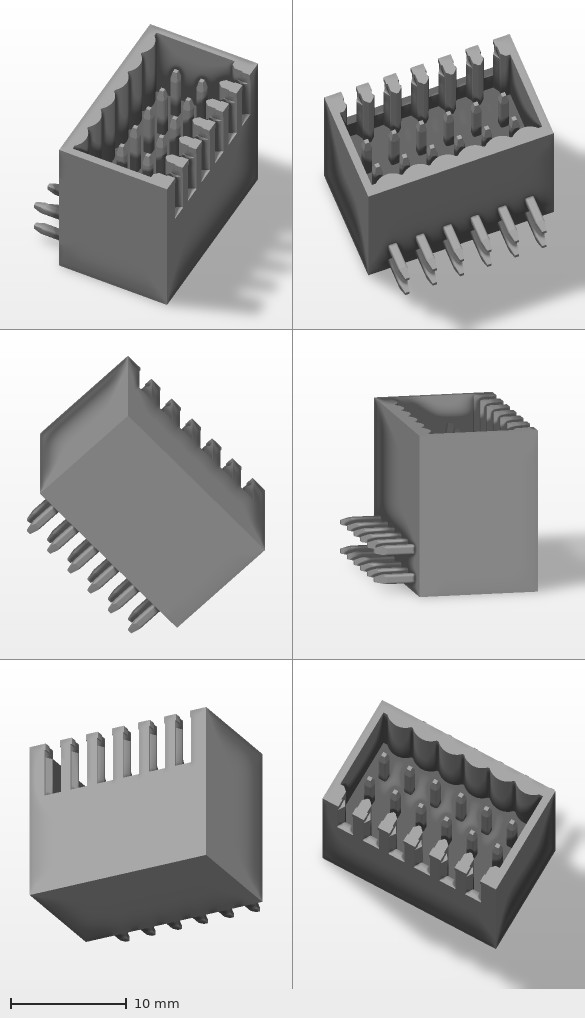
import cadquery as cq
import math

LENGTH = 17.2
DEPTH = 10.5
HEIGHT = 14.2

POLES = 6
END_POLE_SPAN = 12.7
PITCH = END_POLE_SPAN / (POLES - 1)
POLE_YS = [(i - (POLES - 1) / 2) * PITCH for i in range(POLES)]
MATING_ROW_X = 3.65
SOLDER_ROW_Z = 1.25

PIN_SIZE = 0.8
PIN_EDGE_RADIUS = 0.2
PIN_TIP_SIZE = 0.38
PIN_TIP_LENGTH = 1.03
SOLDER_PIN_LENGTH = 3.51
MATING_TIP_Z = 12.15

FLOOR_Z = 7.02
CAVITY_HEIGHT = HEIGHT - FLOOR_Z
BACK_WALL = 0.96
END_WALL = 0.69
COMB_X = 8.58

BULGE_HEIGHT = 0.52
VALLEY_FLAT = 0.17
BULGE_HALF_WIDTH = (PITCH - VALLEY_FLAT) / 2

SLOT_HALF_WIDTH = 0.79
TOOTH_CHAMFER = 0.38
SILL_X = 9.75
SILL_HEIGHT = 2.22

RIB_PROJECTION = 0.36
RIB_HALF_BASE = 0.57
RIB_TOP_Z = 12.97
LIP_PROJECTION = 0.1
LIP_HEIGHT = 0.62


def make_pin(length):
    """Rounded square pin along +Z from the origin, ending in a tapered tip."""
    rounded = cq.Workplane("XY").rect(PIN_SIZE, PIN_SIZE).extrude(length)
    rounded = rounded.edges("|Z").fillet(PIN_EDGE_RADIUS)
    shaft_length = length - PIN_TIP_LENGTH
    taper = math.degrees(math.atan((PIN_SIZE - PIN_TIP_SIZE) / 2 / PIN_TIP_LENGTH))
    pointed = cq.Workplane("XY").rect(PIN_SIZE, PIN_SIZE).extrude(shaft_length)
    pointed = pointed.faces(">Z").workplane().rect(PIN_SIZE, PIN_SIZE).extrude(PIN_TIP_LENGTH, taper=taper)
    return rounded.intersect(pointed)


def make_cavity():
    """Rectangular cavity without the scallops and slots."""
    return (
        cq.Workplane("XY", origin=(0, 0, FLOOR_Z))
        .moveTo((BACK_WALL + COMB_X) / 2, 0)
        .rect(COMB_X - BACK_WALL, LENGTH - 2 * END_WALL)
        .extrude(CAVITY_HEIGHT)
    )


def make_bulge(y):
    """Arc-fronted bulge of the solder-side wall, centred on a pole."""
    return (
        cq.Workplane("XY", origin=(BACK_WALL, y, FLOOR_Z))
        .moveTo(0, -BULGE_HALF_WIDTH)
        .threePointArc((BULGE_HEIGHT, 0), (0, BULGE_HALF_WIDTH))
        .close()
        .extrude(CAVITY_HEIGHT)
    )


def make_slot(y):
    """Slot between two chamfered comb teeth, with a raised sill at its outer end."""
    mouth = SLOT_HALF_WIDTH + TOOTH_CHAMFER
    throat_x = COMB_X + TOOTH_CHAMFER
    inner = (
        cq.Workplane("XY", origin=(0, y, FLOOR_Z))
        .polyline([
            (COMB_X, -mouth),
            (throat_x, -SLOT_HALF_WIDTH),
            (SILL_X, -SLOT_HALF_WIDTH),
            (SILL_X, SLOT_HALF_WIDTH),
            (throat_x, SLOT_HALF_WIDTH),
            (COMB_X, mouth),
        ])
        .close()
        .extrude(CAVITY_HEIGHT)
    )
    outer = (
        cq.Workplane("XY", origin=(0, y, FLOOR_Z + SILL_HEIGHT))
        .moveTo((SILL_X + DEPTH) / 2, 0)
        .rect(DEPTH - SILL_X, 2 * SLOT_HALF_WIDTH)
        .extrude(CAVITY_HEIGHT - SILL_HEIGHT)
    )
    return inner.union(outer)


def make_flank_details(y, side):
    """Triangular rib and top lip on one flank (side = -1 or +1) of a slot."""
    flank_y = side * SLOT_HALF_WIDTH
    rib = (
        cq.Workplane("XY", origin=(SILL_X, y, FLOOR_Z))
        .polyline([
            (-RIB_HALF_BASE, flank_y),
            (0, flank_y - side * RIB_PROJECTION),
            (RIB_HALF_BASE, flank_y),
        ])
        .close()
        .extrude(RIB_TOP_Z - FLOOR_Z)
    )
    lip = (
        cq.Workplane("XY", origin=(0, y, HEIGHT - LIP_HEIGHT))
        .moveTo((SILL_X + DEPTH) / 2, flank_y - side * LIP_PROJECTION / 2)
        .rect(DEPTH - SILL_X, LIP_PROJECTION)
        .extrude(LIP_HEIGHT)
    )
    return rib.union(lip)


result = cq.Workplane("XY").box(DEPTH, LENGTH, HEIGHT, centered=(False, True, False))
result = result.cut(make_cavity())

for pole_y in POLE_YS:
    result = result.cut(make_slot(pole_y))
    result = result.union(make_bulge(pole_y))
    for flank_side in (-1, 1):
        result = result.union(make_flank_details(pole_y, flank_side))

mating_pin = make_pin(MATING_TIP_Z - FLOOR_Z)
solder_pin = make_pin(SOLDER_PIN_LENGTH).rotate((0, 0, 0), (0, 1, 0), -90)
for pole_y in POLE_YS:
    for row in range(2):
        row_offset = row * PITCH
        result = result.union(mating_pin.translate((MATING_ROW_X + row_offset, pole_y, FLOOR_Z)))
        result = result.union(solder_pin.translate((0, pole_y, SOLDER_ROW_Z + row_offset)))